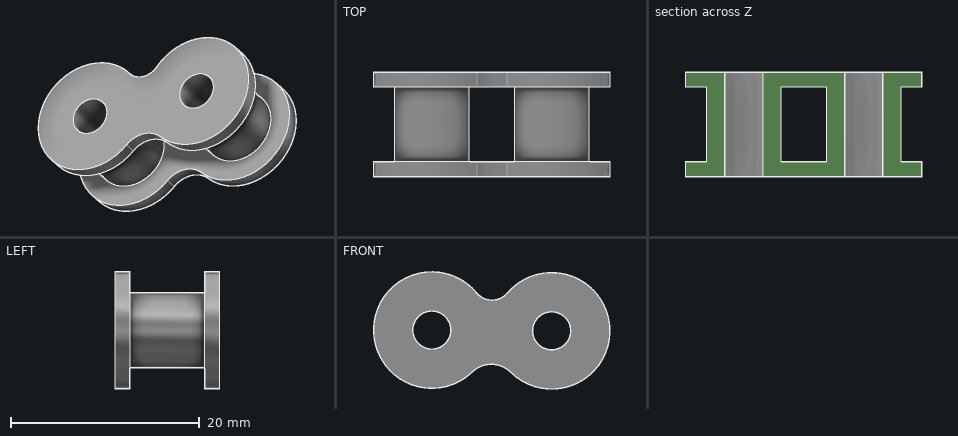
import cadquery as cq
import math

pitch = 12.7
centre_drop = 0.08
end_radius = 6.185
upper_waist_radius = 2.1
lower_waist_radius = 2.9
plate_thickness = 1.6
overall_width = 11.1
roller_diameter = 7.93
bore_diameter = 4.0

roller_length = overall_width - 2 * plate_thickness
left_centre = (-pitch / 2, centre_drop / 2)
right_centre = (pitch / 2, -centre_drop / 2)
roller_centres = [left_centre, right_centre]

front_face = overall_width / 2
inner_face = roller_length / 2


def point_toward(start, target, distance):
    """Point at the given distance from start on the line to target."""
    dx = target[0] - start[0]
    dz = target[1] - start[1]
    scale = distance / math.hypot(dx, dz)
    return (start[0] + dx * scale, start[1] + dz * scale)


def waist_arc(radius, side):
    """Left end, middle and right end of the waist arc tangent to both plate ends.

    side is +1 for the upper waist and -1 for the lower one.
    """
    half_span = math.hypot(pitch, centre_drop) / 2
    rise = side * math.sqrt((end_radius + radius) ** 2 - half_span ** 2)
    tilt = math.atan2(-centre_drop, pitch)
    arc_centre = (-rise * math.sin(tilt), rise * math.cos(tilt))
    left_end = point_toward(left_centre, arc_centre, end_radius)
    middle = point_toward(arc_centre, (0, 0), radius)
    right_end = point_toward(right_centre, arc_centre, end_radius)
    return left_end, middle, right_end


def side_plate(outer_offset):
    """Figure-eight plate reaching from outer_offset back along +Y by its thickness."""
    upper_left, upper_middle, upper_right = waist_arc(upper_waist_radius, 1)
    lower_left, lower_middle, lower_right = waist_arc(lower_waist_radius, -1)
    left_tip = (left_centre[0] - end_radius, left_centre[1])
    right_tip = (right_centre[0] + end_radius, right_centre[1])
    return (
        cq.Workplane("XZ", origin=(0, -outer_offset, 0))
        .moveTo(*upper_left)
        .threePointArc(upper_middle, upper_right)
        .threePointArc(right_tip, lower_right)
        .threePointArc(lower_middle, lower_left)
        .threePointArc(left_tip, upper_left)
        .close()
        .extrude(-plate_thickness)
    )


def cylinders(diameter, front_offset, length):
    """One cylinder on each roller centre, running along +Y from front_offset."""
    return (
        cq.Workplane("XZ", origin=(0, -front_offset, 0))
        .pushPoints(roller_centres)
        .circle(diameter / 2)
        .extrude(-length)
    )


front_plate = side_plate(front_face)
back_plate = side_plate(-inner_face)
rollers = cylinders(roller_diameter, inner_face, roller_length)
bores = cylinders(bore_diameter, front_face, overall_width)

result = front_plate.union(back_plate).union(rollers).cut(bores)